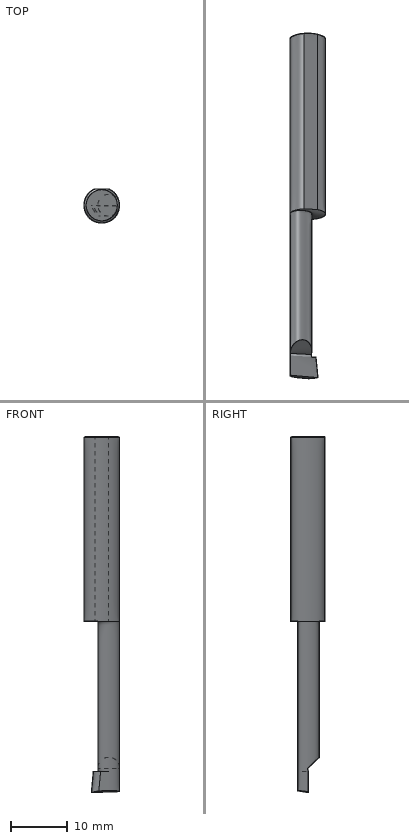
import cadquery as cq

shank_diameter = 6.35
shank_radius = shank_diameter / 2
flat_distance = 2.925
overall_length = 63.49
neck_length = 30.5
shank_length = overall_length - neck_length
chamfer_width = 0.4
chamfer_height = 0.2

neck_radius = 1.94
neck_x = shank_radius - neck_radius

head_height = 3.8
head_lean = 0.35
tip_x = -1.86
flank_x = -1.1
flank_y = -1.35
flank_bulge = 0.09
heel_x = -0.55

ramp_top_z = 6.3
groove_z = 4.3
groove_depth = 0.15

end_relief_angle = 8
end_edge_rise_angle = 2

cutter_size = 4 * shank_diameter


def make_shank():
    shank = cq.Workplane("XY").workplane(offset=neck_length).circle(shank_radius).extrude(shank_length)
    shank = shank.faces(">Z").chamfer(chamfer_height, chamfer_width)
    flat_cutter = cq.Workplane("XY").box(
        cutter_size, cutter_size, shank_length, centered=(True, False, False)
    )
    return shank.cut(flat_cutter.translate((0, flat_distance, neck_length)))


def make_neck():
    return cq.Workplane("XY").center(neck_x, 0).circle(neck_radius).extrude(neck_length)


def draw_head_section(plane, lean):
    """Head outline: bulged flank, flat heel facet, then tangent to the neck's -Y side."""
    tip = cq.Vector(tip_x + lean, 0)
    flank = cq.Vector(flank_x + lean, flank_y)
    chord = flank - tip
    outward = cq.Vector(chord.y, -chord.x).normalized()
    flank_middle = (tip + flank) * 0.5 + outward * flank_bulge
    return (
        plane.moveTo(tip.x, tip.y)
        .threePointArc(flank_middle.toTuple()[:2], (flank.x, flank.y))
        .lineTo(heel_x + lean, -neck_radius)
        .lineTo(neck_x, -neck_radius)
        .lineTo(neck_x, 0)
        .close()
    )


def make_head():
    bottom = draw_head_section(cq.Workplane("XY"), 0)
    both = draw_head_section(bottom.workplane(offset=head_height, origin=(0, 0, 0)), head_lean)
    return both.loft(ruled=True)


def make_chip_clearance():
    profile = [
        (0, -head_height),
        (0, head_height),
        (-groove_depth, groove_z),
        (neck_radius, ramp_top_z),
        (cutter_size, ramp_top_z),
        (cutter_size, -head_height),
    ]
    return cq.Workplane("YZ").polyline(profile).close().extrude(cutter_size, both=True)


def make_end_relief():
    cutter = cq.Workplane("XY").box(
        cutter_size, cutter_size, cutter_size, centered=(True, True, False)
    )
    cutter = cutter.translate((0, 0, -cutter_size))
    cutter = cutter.rotate((0, 0, 0), (1, 0, 0), -end_relief_angle)
    cutter = cutter.rotate((0, 0, 0), (0, 1, 0), -end_edge_rise_angle)
    return cutter.translate((tip_x, 0, 0))


tool_end = make_neck().union(make_head())
tool_end = tool_end.cut(make_chip_clearance()).cut(make_end_relief())
result = make_shank().union(tool_end)